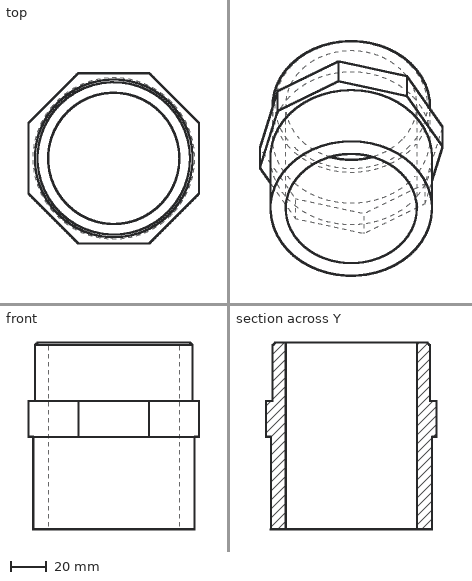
import cadquery as cq

total_height = 104.0
socket_height = 51.5
collar_height = 20.0
spigot_height = total_height - socket_height - collar_height

socket_diameter = 90.0
collar_across_flats = 95.0
spigot_diameter = 87.884
bore_diameter = 73.0
spigot_chamfer = 1.5

collar_sides = 8


def make_socket():
    """Plain lower cylinder."""
    return cq.Workplane("XY").circle(socket_diameter / 2).extrude(socket_height)


def make_collar():
    """Octagonal wrench collar with flats facing the X and Y axes."""
    return (
        cq.Workplane("XY")
        .workplane(offset=socket_height)
        .polygon(collar_sides, collar_across_flats, circumscribed=True)
        .extrude(collar_height)
    )


def make_spigot():
    """Upper cylinder with a chamfered outer rim."""
    return (
        cq.Workplane("XY")
        .workplane(offset=socket_height + collar_height)
        .circle(spigot_diameter / 2)
        .extrude(spigot_height)
        .faces(">Z")
        .edges()
        .chamfer(spigot_chamfer)
    )


def make_bore():
    """Straight passage through the full height."""
    return cq.Workplane("XY").circle(bore_diameter / 2).extrude(total_height)


result = make_socket().union(make_collar()).union(make_spigot()).cut(make_bore())